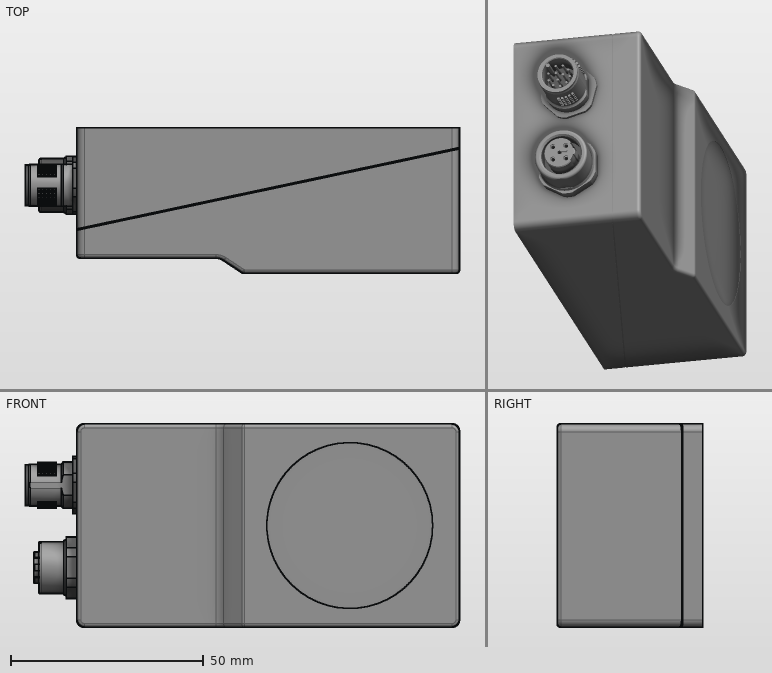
import cadquery as cq
import math


HOUSING_LENGTH = 99.6
HOUSING_HEIGHT = 53.0
FULL_DEPTH = 38.0
LOW_DEPTH = 34.0
STEP_START = 37.3
STEP_END = 43.3
STEP_INNER_RADIUS = 3.6
STEP_OUTER_RADIUS = 1.2
SIDE_EDGE_RADIUS = 2.0
FRONT_EDGE_RADIUS = 1.0

GROOVE_WIDTH = 0.3
GROOVE_DEPTH = 0.1
GROOVE_START_DEPTH = 26.5
GROOVE_ANGLE = 12.0

WINDOW_DIAMETER = 43.1
WINDOW_CENTER_X = 71.0
WINDOW_RECESS = 0.1

CONNECTOR_Y = -15.0
MALE_Z = 10.5
FEMALE_Z = -11.0

MALE_LENGTH = 112.9 - HOUSING_LENGTH
WASHER_ACROSS_FLATS = 14.0
WASHER_DIAMETER = 15.0
WASHER_THICKNESS = 1.0
WASHER_TURN = 45.0
SHOULDER_DIAMETER = 12.1
SHOULDER_REACH = 3.5
SHOULDER_CONE = 0.5
BARREL_DIAMETER = 11.0
BARREL_REACH = 12.1
BARREL_CONE = 0.5
TIP_DIAMETER = 10.6
BARREL_ACROSS_FLATS = 10.8
SOCKET_DIAMETER = 8.4
SOCKET_CHAMFER = 0.2
SOCKET_DEPTH = 6.8
KEY_DIAMETER = 1.0
KEY_CIRCLE_RADIUS = 3.6
KEY_ANGLE = 135.0
PIN_DIAMETER = 0.63
PIN_LENGTH = 5.1
OUTER_PIN_COUNT = 9
OUTER_PIN_RADIUS = 2.9
OUTER_PIN_PITCH = 38.0
INNER_PIN_COUNT = 3
INNER_PIN_RADIUS = 1.1

TOOTH_LENGTH = 0.7
TOOTH_AXIAL_PITCH = 1.04
TOOTH_ROWS = 5
TOOTH_START_REACH = 5.3
TOOTH_ANGLE = 6.0
TOOTH_ANGLE_PITCH = 10.0
TOOTH_ROOT = 0.2
GRIP_PATCHES = [(26.0, 6), (114.0, 4), (262.0, 5)]

NUT_ACROSS_FLATS = 15.1
NUT_DIAMETER = 16.2
NUT_THICKNESS = 2.7
NUT_TURN = 30.0
COLLAR_DIAMETER = 14.7
COLLAR_REACH = 3.4
SLEEVE_DIAMETER = 14.0
SLEEVE_REACH = 9.8
SLEEVE_EDGE_RADIUS = 0.7
SLEEVE_FLAT_HEIGHT = 6.8
SLEEVE_BORE_DIAMETER = 10.6
SLEEVE_BORE_CHAMFER = 0.5
SLEEVE_BORE_DEPTH = 4.5
INSERT_DIAMETER = 8.2
INSERT_REACH = 11.2
INSERT_CHAMFER = 0.2
CONTACT_DIAMETER = 1.0
CONTACT_MOUTH_DIAMETER = 1.5
CONTACT_MOUTH_DEPTH = 0.3
CONTACT_DEPTH = 4.5
CONTACT_COUNT = 4
CONTACT_RADIUS = 2.5
KEY_SLOT_LENGTH = 2.3
KEY_SLOT_WIDTH = 0.6
KEY_SLOT_DEPTH = 0.3
KEY_RIB_WIDTH = 1.7
KEY_RECESS_ANGLE = 80.0
KEY_RECESS_FLOOR_RADIUS = 3.7


def polar(radius, degrees):
    """Y and Z of a point around a connector axis; 0 degrees is -Y and 90 degrees is +Z."""
    angle = math.radians(degrees)
    return (-radius * math.cos(angle), radius * math.sin(angle))


def rod(diameter, reach_from, reach_to, centers=((0, 0),)):
    """Cylinders along the connector axis between two distances from the housing face."""
    plane = cq.Workplane("YZ", origin=(-reach_to, 0, 0))
    return plane.pushPoints(list(centers)).circle(diameter / 2).extrude(reach_to - reach_from)


def turned(profile):
    """Solid of revolution from (reach, diameter) stations, closed along the axis."""
    points = [(-reach, diameter / 2) for reach, diameter in profile]
    ends = [(points[-1][0], 0), (points[0][0], 0)]
    return cq.Workplane("XY").polyline(points + ends).close().revolve(360, (0, 0, 0), (1, 0, 0))


def rounded_hexagon(across_flats, diameter, thickness, turn):
    """Hexagonal plate with corners trimmed to a circle, on the housing face."""
    corner_diameter = across_flats / math.cos(math.pi / 6)
    hexagon = cq.Workplane("YZ").polygon(6, corner_diameter).extrude(-thickness)
    hexagon = hexagon.rotate((0, 0, 0), (1, 0, 0), turn)
    return hexagon.intersect(rod(diameter, 0, thickness))


def make_housing():
    outline = [
        (0, 0),
        (0, -LOW_DEPTH),
        (STEP_START, -LOW_DEPTH),
        (STEP_END, -FULL_DEPTH),
        (HOUSING_LENGTH, -FULL_DEPTH),
        (HOUSING_LENGTH, 0),
    ]
    half_height = HOUSING_HEIGHT / 2
    block = cq.Workplane("XY").polyline(outline).close().extrude(half_height, both=True)

    def step_edge(x, depth):
        return block.edges("|Z").edges(cq.selectors.NearestToPointSelector((x, -depth, 0))).val()

    block = cq.Workplane(block.val().fillet(STEP_INNER_RADIUS, [step_edge(STEP_START, LOW_DEPTH)]))
    block = cq.Workplane(block.val().fillet(STEP_OUTER_RADIUS, [step_edge(STEP_END, FULL_DEPTH)]))
    block = block.edges("|Y").fillet(SIDE_EDGE_RADIUS)
    block = block.faces("<Y").edges(">Z").fillet(FRONT_EDGE_RADIUS)

    window = (
        cq.Workplane("XZ", origin=(WINDOW_CENTER_X, -FULL_DEPTH, 0))
        .circle(WINDOW_DIAMETER / 2)
        .extrude(-WINDOW_RECESS)
    )
    return block.cut(window).cut(make_parting_groove())


def make_parting_groove():
    """Tilted slab with its middle removed, leaving only the skin that is cut from the housing."""
    slab_length = 3 * HOUSING_LENGTH
    slab = (
        cq.Workplane("XY")
        .box(slab_length, GROOVE_WIDTH, 2 * HOUSING_HEIGHT)
        .rotate((0, 0, 0), (0, 0, 1), GROOVE_ANGLE)
        .translate((0, -GROOVE_START_DEPTH, 0))
    )
    core = (
        cq.Workplane("XY")
        .box(HOUSING_LENGTH - 2 * GROOVE_DEPTH, 2 * FULL_DEPTH, HOUSING_HEIGHT - 2 * GROOVE_DEPTH)
        .edges("|Y")
        .fillet(SIDE_EDGE_RADIUS - GROOVE_DEPTH)
        .translate((HOUSING_LENGTH / 2, -FULL_DEPTH / 2, 0))
    )
    return slab.cut(core)


def make_grip_teeth():
    """Grid of small raised teeth in patches around the male barrel."""
    root_radius = BARREL_DIAMETER / 2 - TOOTH_ROOT
    tooth_height = SHOULDER_DIAMETER / 2 - root_radius
    teeth = []
    for row in range(TOOTH_ROWS):
        reach = TOOTH_START_REACH + row * TOOTH_AXIAL_PITCH
        tooth = (
            cq.Workplane("XY", origin=(-reach - TOOTH_LENGTH, -root_radius - tooth_height, 0))
            .rect(TOOTH_LENGTH, tooth_height, centered=False)
            .revolve(TOOTH_ANGLE, (0, root_radius + tooth_height, 0), (-1, root_radius + tooth_height, 0))
        )
        for start_angle, count in GRIP_PATCHES:
            for index in range(count):
                angle = start_angle + index * TOOTH_ANGLE_PITCH
                teeth.append(tooth.rotate((0, 0, 0), (-1, 0, 0), angle).val())
    return teeth


def make_male_connector():
    body = turned([
        (0, SHOULDER_DIAMETER),
        (SHOULDER_REACH, SHOULDER_DIAMETER),
        (SHOULDER_REACH + SHOULDER_CONE, BARREL_DIAMETER),
        (BARREL_REACH, BARREL_DIAMETER),
        (BARREL_REACH + BARREL_CONE, TIP_DIAMETER),
        (MALE_LENGTH, TIP_DIAMETER),
    ])
    body = cq.Workplane(body.val().fuse(*make_grip_teeth()))
    between_flats = cq.Workplane("XY").box(2 * MALE_LENGTH, BARREL_ACROSS_FLATS, 2 * SHOULDER_DIAMETER)
    body = body.intersect(between_flats)
    body = body.union(
        rounded_hexagon(WASHER_ACROSS_FLATS, WASHER_DIAMETER, WASHER_THICKNESS, WASHER_TURN)
    )

    floor = MALE_LENGTH - SOCKET_DEPTH
    socket = turned([
        (floor, SOCKET_DIAMETER),
        (MALE_LENGTH - SOCKET_CHAMFER, SOCKET_DIAMETER),
        (MALE_LENGTH, SOCKET_DIAMETER + 2 * SOCKET_CHAMFER),
    ])
    key = rod(KEY_DIAMETER, floor, MALE_LENGTH - SOCKET_CHAMFER, [polar(KEY_CIRCLE_RADIUS, KEY_ANGLE)])
    body = body.cut(socket.cut(key))

    middle = (OUTER_PIN_COUNT - 1) / 2
    pin_centers = [
        polar(OUTER_PIN_RADIUS, KEY_ANGLE + 180 + (index - middle) * OUTER_PIN_PITCH)
        for index in range(OUTER_PIN_COUNT)
    ]
    pin_centers += [
        polar(INNER_PIN_RADIUS, KEY_ANGLE + index * 360 / INNER_PIN_COUNT)
        for index in range(INNER_PIN_COUNT)
    ]
    body = body.union(rod(PIN_DIAMETER, floor, floor + PIN_LENGTH, pin_centers))
    return body.translate((0, CONNECTOR_Y, MALE_Z))


def make_insert():
    """Contact carrier of the female connector, with its contact holes and key."""
    insert = turned([
        (0, INSERT_DIAMETER),
        (INSERT_REACH - INSERT_CHAMFER, INSERT_DIAMETER),
        (INSERT_REACH, INSERT_DIAMETER - 2 * INSERT_CHAMFER),
    ])
    contacts = [polar(CONTACT_RADIUS, 45 + index * 360 / CONTACT_COUNT) for index in range(CONTACT_COUNT)]
    mouth_floor = INSERT_REACH - CONTACT_MOUTH_DEPTH
    contact_floor = INSERT_REACH - CONTACT_DEPTH
    insert = insert.cut(rod(CONTACT_MOUTH_DIAMETER, mouth_floor, INSERT_REACH, contacts))
    insert = insert.cut(rod(CONTACT_DIAMETER, contact_floor, INSERT_REACH, contacts + [(0, 0)]))

    slot = cq.Workplane("XY").box(2 * KEY_SLOT_DEPTH, KEY_SLOT_LENGTH, KEY_SLOT_WIDTH)
    insert = insert.cut(slot.translate((-INSERT_REACH, -KEY_SLOT_LENGTH / 2, 0)))

    half_angle = math.radians(KEY_RECESS_ANGLE / 2)
    wedge_depth = INSERT_DIAMETER
    wedge_height = wedge_depth * math.tan(half_angle)
    recess_length = INSERT_REACH - SLEEVE_REACH + SLEEVE_BORE_DEPTH
    wedge = (
        cq.Workplane("YZ")
        .polyline([(0, 0), (-wedge_depth, wedge_height), (-wedge_depth, -wedge_height)])
        .close()
        .extrude(-recess_length)
        .translate((recess_length - INSERT_REACH, 0, 0))
    )
    core = rod(2 * KEY_RECESS_FLOOR_RADIUS, 0, INSERT_REACH)
    rib = cq.Workplane("XY").box(2 * INSERT_REACH, 2 * INSERT_DIAMETER, KEY_RIB_WIDTH)
    insert = insert.cut(wedge.cut(core).cut(rib))
    return insert


def make_female_connector():
    sleeve = rod(SLEEVE_DIAMETER, 0, SLEEVE_REACH).faces("<X").edges().fillet(SLEEVE_EDGE_RADIUS)
    below_flat = cq.Workplane("XY").box(2 * SLEEVE_REACH, 2 * SLEEVE_DIAMETER, 2 * SLEEVE_FLAT_HEIGHT)
    sleeve = sleeve.intersect(below_flat)
    collar = turned([
        (0, COLLAR_DIAMETER),
        (NUT_THICKNESS, COLLAR_DIAMETER),
        (COLLAR_REACH, SLEEVE_DIAMETER),
    ])
    nut = rounded_hexagon(NUT_ACROSS_FLATS, NUT_DIAMETER, NUT_THICKNESS, NUT_TURN)
    body = sleeve.union(collar).union(nut)
    bore = turned([
        (SLEEVE_REACH - SLEEVE_BORE_DEPTH, SLEEVE_BORE_DIAMETER),
        (SLEEVE_REACH - SLEEVE_BORE_CHAMFER, SLEEVE_BORE_DIAMETER),
        (SLEEVE_REACH, SLEEVE_BORE_DIAMETER + 2 * SLEEVE_BORE_CHAMFER),
    ])
    body = body.cut(bore)
    body = body.cut(rod(INSERT_DIAMETER, 0, SLEEVE_REACH)).union(make_insert())
    return body.translate((0, CONNECTOR_Y, FEMALE_Z))


housing = make_housing()
male_connector = make_male_connector()
female_connector = make_female_connector()
result = cq.Compound.makeCompound([housing.val(), male_connector.val(), female_connector.val()])